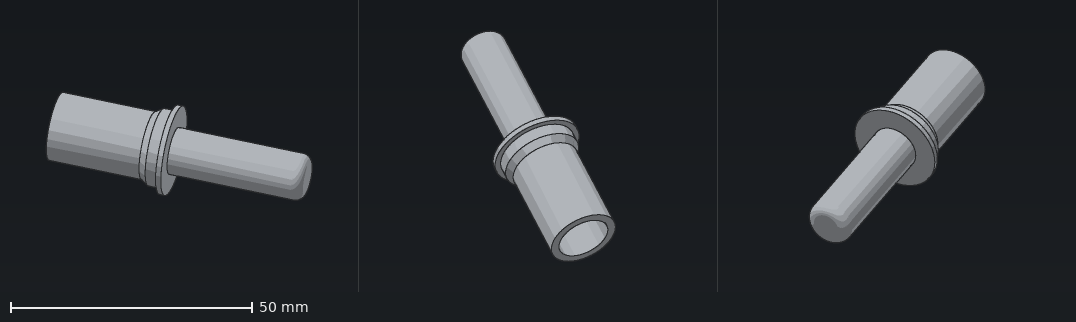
import cadquery as cq
import math

total_length = 54.5

barrel_diameter = 14.5
shoulder_diameter = 16.5
flange_diameter = 19.0
pin_diameter = 10.0

barrel_end = 20.1
shoulder_start = 21.75
flange_start = 24.35
flange_end = 25.5
tip_radius = 2.05

bore_diameter = 11.0
bore_depth = 20.1
drill_point_angle = 120.0


def make_body():
    """Revolve the outer half-profile about the X axis."""
    barrel_radius = barrel_diameter / 2
    shoulder_radius = shoulder_diameter / 2
    flange_radius = flange_diameter / 2
    pin_radius = pin_diameter / 2
    return (
        cq.Workplane("XY")
        .moveTo(0, 0)
        .lineTo(0, barrel_radius)
        .lineTo(barrel_end, barrel_radius)
        .lineTo(shoulder_start, shoulder_radius)
        .lineTo(flange_start, shoulder_radius)
        .lineTo(flange_start, flange_radius)
        .lineTo(flange_end, flange_radius)
        .lineTo(flange_end, pin_radius)
        .lineTo(total_length, pin_radius)
        .lineTo(total_length, 0)
        .close()
        .revolve(360, (0, 0, 0), (1, 0, 0))
        .faces(">X")
        .edges()
        .fillet(tip_radius)
    )


def make_bore():
    """Straight bore followed by the cone left by the drill point."""
    bore_radius = bore_diameter / 2
    cone_depth = bore_radius / math.tan(math.radians(drill_point_angle / 2))
    return (
        cq.Workplane("XY")
        .moveTo(0, 0)
        .lineTo(0, bore_radius)
        .lineTo(bore_depth, bore_radius)
        .lineTo(bore_depth + cone_depth, 0)
        .close()
        .revolve(360, (0, 0, 0), (1, 0, 0))
    )


result = make_body().cut(make_bore())